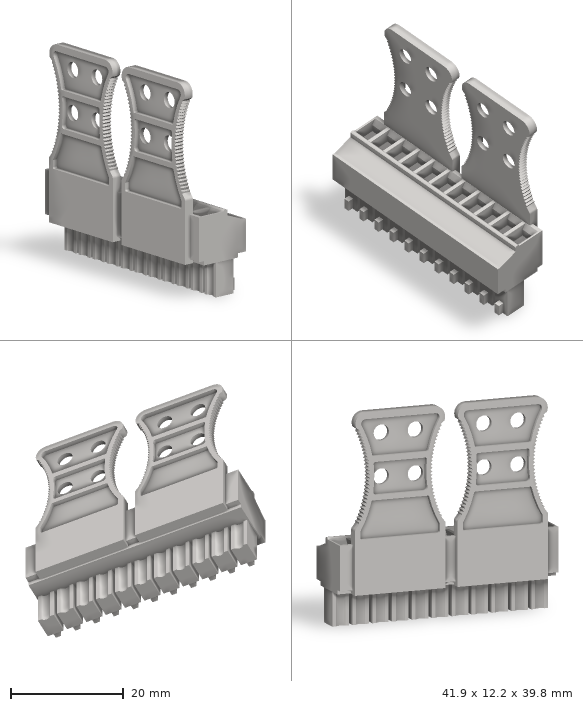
import cadquery as cq
import math


contact_count = 11
housing_length = 41.9
contact_pitch = housing_length / contact_count
first_contact_x = -contact_pitch * (contact_count - 1) / 2

housing_depth = 11.05
leg_height = 6.55
body_bottom = 7.35
body_top = 15.6
back_top = 13.35
back_flat = 0.6
base_front = 1.17
base_back = 9.18
ridge_front = 5.7
ridge_back = 6.65
ridge_foot = 14.75
ridge_side_top = 15.8
ridge_crest_y = 6.15
ridge_crest_z = 15.95
ridge_back_bulge = 0.05
ridge_front_bulge = 0.1

entry_wall = 0.7
entry_width = contact_pitch - entry_wall
entry_front = 0.75
entry_floor_front = 1.55
entry_floor_back = 4.05
entry_depth = 2.5
entry_slope_depth = 2.0
entry_lip_depth = 1.05

leg_width = 3.15
leg_front = 4.27
leg_back = 8.35
groove_width = 1.75
groove_depth = 0.4
tab_width = 1.05
tab_back = 9.47
tab_bottom = 0.25
tab_top = 2.5

grip_spacing = 19.65
grip_front = -1.15
grip_back = 0.7
grip_thickness = grip_back - grip_front
grip_bottom = leg_height
grip_top = 39.75
base_half_width = 8.68
top_half_width = 8.6
top_corner_radius = 2.0
top_corner_x = top_half_width - top_corner_radius
top_corner_z = grip_top - top_corner_radius
top_corner_end_angle = math.radians(-22)

shoulder_z = 18.27
shoulder_radius = 0.65
shoulder_tilt = math.radians(32)
shoulder_end = (7.9, 19.55)

waist_z = 27.95
tooth_count = 27
tooth_tip_radius = 18.9
tooth_root_radius = 19.25
tooth_angle = math.radians(1.95)
waist_half_width = 6.1
tooth_centre_x = waist_half_width + tooth_tip_radius

recess_depth = 0.92
recess_side_radius = 19.28
recess_waist_half_width = 5.0
recess_side_centre_x = recess_waist_half_width + recess_side_radius
upper_recess = (31.65, 38.47)
middle_recess = (24.55, 30.55)
lower_recess = (16.65, 23.6)
upper_recess_radii = (0.3, 0.8)
middle_recess_radii = (0.6, 0.38)
lower_recess_radii = (0.35, 0.3)
lower_recess_half_width = 7.63
hole_diameter = 2.95
hole_half_spacing = 3.25
hole_rows = (27.6, 35.6)


def block(x_range, y_range, z_range):
    """Box between two limits on each axis."""
    size = [high - low for low, high in (x_range, y_range, z_range)]
    corner = (x_range[0], y_range[0], z_range[0])
    return cq.Workplane("XY").box(*size, centered=False).translate(corner)


def centred(centre, width):
    return (centre - width / 2, centre + width / 2)


def extrude_along_x(sketch, centre, width):
    """Extrude a YZ outline to a width centred on the given X."""
    return sketch.extrude(width / 2, both=True).translate((centre, 0, 0))


def make_housing_body():
    outline = (
        cq.Workplane("YZ")
        .moveTo(0, body_bottom)
        .lineTo(base_front, body_bottom)
        .lineTo(base_front, leg_height)
        .lineTo(base_back, leg_height)
        .lineTo(base_back, body_bottom)
        .lineTo(housing_depth, body_bottom)
        .lineTo(housing_depth, back_top)
        .lineTo(housing_depth - back_flat, back_top)
        .lineTo(ridge_back, ridge_foot)
        .lineTo(ridge_back, ridge_side_top)
        .sagittaArc((ridge_crest_y, ridge_crest_z), -ridge_back_bulge)
        .sagittaArc((ridge_front, body_top), -ridge_front_bulge)
        .lineTo(0, body_top)
        .close()
    )
    return extrude_along_x(outline, 0, housing_length)


def make_wire_entry(x):
    """Pocket with a bevelled front rim and a sloping back."""
    floor_z = body_top - entry_depth
    outline = (
        cq.Workplane("YZ")
        .moveTo(entry_front, body_top)
        .lineTo(entry_floor_front, body_top - entry_lip_depth)
        .lineTo(entry_floor_front, floor_z)
        .lineTo(entry_floor_back, floor_z)
        .lineTo(entry_floor_back, body_top - entry_slope_depth)
        .lineTo(ridge_front, body_top)
        .close()
    )
    return extrude_along_x(outline, x, entry_width)


def make_leg(x):
    leg = block(centred(x, leg_width), (leg_front, leg_back), (0, leg_height))
    groove_radius = ((groove_width / 2) ** 2 + groove_depth**2) / (2 * groove_depth)
    groove_y = leg_front + groove_depth - groove_radius
    groove = cq.Workplane("XY").center(x, groove_y).circle(groove_radius).extrude(leg_height)
    tab = block(centred(x, tab_width), (leg_back, tab_back), (tab_bottom, tab_top))
    return leg.cut(groove).union(tab)


def make_housing(grip_centres):
    housing = make_housing_body()
    for x in grip_centres:
        slot = block(centred(x, 2 * base_half_width), (0, grip_back), (body_bottom, body_top))
        housing = housing.cut(slot)
    for index in range(contact_count):
        x = first_contact_x + index * contact_pitch
        housing = housing.cut(make_wire_entry(x)).union(make_leg(x))
    return housing


def tooth_point(radius, step):
    """Point on the tooth arc, a number of tooth steps above the waist."""
    angle = step * tooth_angle
    return (tooth_centre_x - radius * math.cos(angle), waist_z + radius * math.sin(angle))


def toothed_edge():
    """Tooth tips and roots of the right-hand edge, from the bottom to the top."""
    points = []
    for index in range(tooth_count):
        step = index - (tooth_count - 1) / 2
        points.append(tooth_point(tooth_tip_radius, step))
        points.append(tooth_point(tooth_root_radius, step + 0.5))
    return points


def shoulder_point(angle):
    """Point on the rounded top of the grip's straight base."""
    x = base_half_width - shoulder_radius * (1 - math.cos(angle))
    return (x, shoulder_z + shoulder_radius * math.sin(angle))


def corner_point(angle):
    """Point on the rounded top corner of the grip."""
    x = top_corner_x + top_corner_radius * math.cos(angle)
    return (x, top_corner_z + top_corner_radius * math.sin(angle))


def make_grip_half():
    """Right-hand half of the grip plate, with its base, teeth and rounded top corner."""
    outline = (
        cq.Workplane("XZ", origin=(0, grip_back, 0))
        .moveTo(0, grip_bottom)
        .lineTo(base_half_width, grip_bottom)
        .lineTo(*shoulder_point(0))
        .threePointArc(shoulder_point(shoulder_tilt / 2), shoulder_point(shoulder_tilt))
        .lineTo(*shoulder_end)
    )
    for point in toothed_edge():
        outline = outline.lineTo(*point)
    outline = (
        outline.lineTo(*corner_point(top_corner_end_angle))
        .threePointArc(corner_point(0), (top_corner_x, grip_top))
        .lineTo(0, grip_top)
        .close()
    )
    return outline.extrude(grip_thickness)


def make_recess(z_range, half_width, corner_radii):
    """Recess whose sides follow the waist, with its corners rounded."""
    bottom_radius, top_radius = corner_radii
    y_range = (grip_front, grip_front + recess_depth)
    recess = block((-half_width, half_width), y_range, z_range)
    sides = (
        cq.Workplane("XZ", origin=(0, grip_back, 0))
        .pushPoints([(-recess_side_centre_x, waist_z), (recess_side_centre_x, waist_z)])
        .circle(recess_side_radius)
        .extrude(2 * grip_thickness)
    )
    recess = recess.cut(sides)
    recess = recess.faces("<Z").edges("|Y").fillet(bottom_radius)
    return recess.faces(">Z").edges("|Y").fillet(top_radius)


def make_grip(x):
    half = make_grip_half()
    grip = half.union(half.mirror("YZ"))
    grip = grip.cut(make_recess(upper_recess, base_half_width, upper_recess_radii))
    grip = grip.cut(make_recess(middle_recess, base_half_width, middle_recess_radii))
    grip = grip.cut(make_recess(lower_recess, lower_recess_half_width, lower_recess_radii))
    centres = [(side * hole_half_spacing, z) for side in (-1, 1) for z in hole_rows]
    holes = (
        cq.Workplane("XZ", origin=(0, grip_back, 0))
        .pushPoints(centres)
        .circle(hole_diameter / 2)
        .extrude(grip_thickness)
    )
    return grip.cut(holes).translate((x, 0, 0))


grip_centres = [-grip_spacing / 2, grip_spacing / 2]
housing = make_housing(grip_centres)
grips = [make_grip(x) for x in grip_centres]

grip_solids = [grip.solids().val() for grip in grips]
result = cq.Compound.makeCompound([housing.solids().val(), *grip_solids])